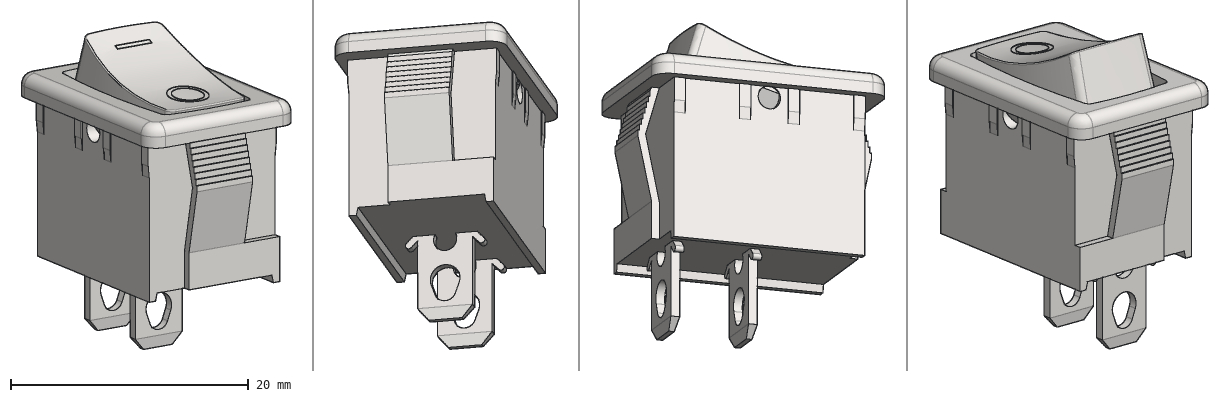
import cadquery as cq
import math

bezel_length = 20.78
bezel_width = 14.8
bezel_height = 2.0
bezel_corner_radius = 1.5
bezel_edge_radius = 1.0

body_length = 17.1
body_width = 12.68
body_depth = 13.9
foot_height = 0.7
foot_top_width = 0.8
foot_tip_width = 0.65

rib_width = 1.0
rib_thickness = 0.1
rib_straight_depth = 2.0
rib_total_depth = 3.05
rib_inner_x = 2.18
rib_outer_x = (body_length - rib_width) / 2

opening_corner_x = 7.9
opening_middle_x = 8.23
opening_corner_y = 4.37
opening_middle_y = 4.88
opening_corner_radius = 0.59
opening_floor_z = -1.0
floor_slit_wall_gap = 0.15
floor_slit_length = 0.65
floor_slit_width = 0.2
floor_slit_depth = 0.13

pivot_diameter = 2.0
pivot_z = -0.93
pivot_recess = 0.13
pivot_flat_height = 0.67
pivot_ramp_angle = 35.0

rocker_tilt = 15.0
rocker_draft = 2.5
rocker_corner_x = 6.85
rocker_middle_x = 7.03
rocker_corner_y = 3.8
rocker_middle_y = 4.35
rocker_corner_radius = 0.72
rocker_edge_radius = 0.1
rocker_top = 5.22
rocker_sag = 1.05
rocker_base = -2.4
rocker_trim = 0.27

mark_depth = 0.05
on_mark_x = -4.85
on_mark_width = 0.43
on_mark_length = 3.44
off_mark_x = 3.8
off_mark_outer_radius = 1.78
off_mark_inner_radius = 1.39

clip_width = 5.6
clip_reach = 10.47
clip_thickness = 0.7
clip_root_thickness = 0.67
clip_grip_thickness = 0.83
clip_apex_z = -4.15
clip_step_count = 8
clip_first_step_z = -0.3
clip_step_height = 0.5
clip_bar_top_z = -9.96

terminal_thickness = 0.8
terminal_width = 4.75
terminal_positions = (-6.95, 0.0)
terminal_bottom = -20.75
terminal_tip_height = 1.07
terminal_tip_width = 2.88
terminal_tip_thickness = 0.5
terminal_root_z = -12.0
upper_hole_diameter = 2.0
upper_hole_z = -13.7
keyhole_large_radius = 1.28
keyhole_large_z = -17.24
keyhole_small_radius = 0.93
keyhole_small_z = -18.25
barb_radius = 0.3
barb_tip_y = 3.15
barb_tip_z = -13.99
barb_length = 2.0


def bowed_rectangle(plane, corner_x, middle_x, corner_y, middle_y):
    """Rectangle whose four sides are arcs that bulge outward."""
    return (
        plane.moveTo(-corner_x, -corner_y)
        .threePointArc((0, -middle_y), (corner_x, -corner_y))
        .threePointArc((middle_x, 0), (corner_x, corner_y))
        .threePointArc((0, middle_y), (-corner_x, corner_y))
        .threePointArc((-middle_x, 0), (-corner_x, -corner_y))
        .close()
    )


def mirrored_pair(solid, plane):
    return solid.union(solid.mirror(plane))


def make_bezel():
    bezel = cq.Workplane("XY").rect(bezel_length, bezel_width).extrude(bezel_height)
    bezel = bezel.edges("|Z").fillet(bezel_corner_radius)
    return bezel.faces(">Z").edges().fillet(bezel_edge_radius)


def make_opening():
    """Pocket around the rocker, with a short slit in its floor."""
    floor = cq.Workplane("XY").workplane(offset=opening_floor_z)
    pocket = bowed_rectangle(
        floor, opening_corner_x, opening_middle_x, opening_corner_y, opening_middle_y
    ).extrude(bezel_height - opening_floor_z)
    pocket = pocket.edges("|Z").fillet(opening_corner_radius)
    slit = (
        cq.Workplane("XY")
        .box(floor_slit_length, floor_slit_width, floor_slit_depth, centered=(False, True, False))
        .translate((-opening_middle_x + floor_slit_wall_gap, 0, opening_floor_z - floor_slit_depth))
    )
    return pocket.union(slit)


def foot_outline(plane):
    """Cross section in Y and Z: a block with a foot along each bottom edge."""
    half_width = body_width / 2
    recess_z = foot_height - body_depth
    return plane.polyline(
        [
            (-half_width, 0),
            (-half_width, -body_depth),
            (-half_width + foot_tip_width, -body_depth),
            (-half_width + foot_top_width, recess_z),
            (half_width - foot_top_width, recess_z),
            (half_width - foot_tip_width, -body_depth),
            (half_width, -body_depth),
            (half_width, 0),
        ]
    ).close()


def make_body():
    return foot_outline(cq.Workplane("YZ")).extrude(body_length / 2, both=True)


def make_ribs():
    """Thin guide ribs under the bezel, each tapering away at its lower end."""
    face_y = -body_width / 2
    rib = (
        cq.Workplane("YZ")
        .polyline(
            [
                (0, 0),
                (face_y - rib_thickness, 0),
                (face_y - rib_thickness, -rib_straight_depth),
                (face_y, -rib_total_depth),
                (0, -rib_total_depth),
            ]
        )
        .close()
        .extrude(rib_width / 2, both=True)
    )
    ribs = cq.Workplane("XY")
    for x in (-rib_outer_x, -rib_inner_x, rib_inner_x, rib_outer_x):
        ribs = ribs.add(rib.translate((x, 0, 0)))
    return mirrored_pair(ribs.combine(), "XZ")


def make_pivot_recesses():
    """Round recesses in both long sides, each with a ramp for a floor."""
    wall_y = -body_width / 2
    radius = pivot_diameter / 2
    ramp_height = radius + pivot_flat_height
    ramp_depth = ramp_height * math.tan(math.radians(pivot_ramp_angle))
    floor_y = wall_y + pivot_recess
    room = (
        cq.Workplane("YZ")
        .polyline(
            [
                (wall_y, radius),
                (floor_y, radius),
                (floor_y, pivot_flat_height),
                (floor_y + ramp_depth, -radius),
                (wall_y, -radius),
            ]
        )
        .close()
        .extrude(pivot_diameter, both=True)
        .rotate((0, 0, 0), (0, 1, 0), rocker_tilt)
    )
    bore = cq.Workplane("XZ").circle(radius).extrude(body_width)
    recess = bore.intersect(room).translate((0, 0, pivot_z))
    return mirrored_pair(recess, "XZ")


def make_top_cutter(depth):
    """Cylinder that hollows the rocker top, lowered by the given depth."""
    radius = (rocker_middle_x**2 + rocker_sag**2) / (2 * rocker_sag)
    axis_z = rocker_top - rocker_sag + radius
    return (
        cq.Workplane("XZ")
        .center(0, axis_z)
        .circle(radius + depth)
        .extrude(bezel_width, both=True)
    )


def make_rocker():
    """Drafted rocker with a concave top, built level about its pivot and then tilted."""
    height = rocker_top - rocker_base
    flare = height * math.tan(math.radians(rocker_draft))
    base = bowed_rectangle(
        cq.Workplane("XY").workplane(offset=rocker_base),
        rocker_corner_x + flare,
        rocker_middle_x + flare,
        rocker_corner_y + flare,
        rocker_middle_y + flare,
    )
    block = base.extrude(height + rocker_trim, taper=rocker_draft)
    block = block.edges("not(<Z or >Z)").fillet(rocker_corner_radius)
    rocker = block.cut(make_top_cutter(0))
    top_face = rocker.faces(cq.selectors.NearestToPointSelector((0, 0, rocker_top - rocker_sag)))
    rocker = top_face.edges().fillet(rocker_edge_radius)
    rocker = rocker.cut(make_marks())
    pin = cq.Workplane("XZ").circle(pivot_diameter / 2).extrude(opening_middle_y, both=True)
    rocker = rocker.union(pin)
    return rocker.rotate((0, 0, 0), (0, 1, 0), rocker_tilt).translate((0, 0, pivot_z))


def make_marks():
    """Shallow bar and ring sunk into the rocker top."""
    bar = cq.Workplane("XY").center(on_mark_x, 0).rect(on_mark_width, on_mark_length)
    ring = (
        cq.Workplane("XY")
        .center(off_mark_x, 0)
        .circle(off_mark_outer_radius)
        .circle(off_mark_inner_radius)
    )
    prisms = bar.extrude(rocker_top).union(ring.extrude(rocker_top))
    return prisms.intersect(make_top_cutter(mark_depth))


def make_clip():
    """Bent spring clip on the -X side, with a stepped grip and a bar at its foot."""
    wall_x = -body_length / 2
    bar_x = wall_x - clip_thickness
    grip_x = wall_x - clip_grip_thickness
    step_run = (clip_reach + grip_x) / (clip_step_count - 1)
    points = [(wall_x, 0), (wall_x - clip_root_thickness, 0)]
    for step in range(clip_step_count):
        face_x = grip_x - step_run * step
        face_top_z = clip_first_step_z - clip_step_height * step
        points += [(face_x, face_top_z), (face_x, face_top_z - clip_step_height)]
    points += [
        (bar_x, clip_bar_top_z),
        (wall_x, clip_bar_top_z),
        (-clip_reach + clip_thickness, clip_apex_z),
    ]
    spring = cq.Workplane("XZ").polyline(points).close().extrude(clip_width / 2, both=True)

    bar = foot_outline(cq.Workplane("YZ").workplane(offset=bar_x)).extrude(clip_thickness)
    bar_length = (body_width + clip_width) / 2
    limits = (
        cq.Workplane("XY")
        .box(clip_thickness, bar_length, body_depth + clip_bar_top_z, centered=False)
        .translate((bar_x, -clip_width / 2, -body_depth))
    )
    return spring.union(bar.intersect(limits))


def make_keyhole():
    """Two circles of different size joined by their common tangents."""
    tilt = math.asin(
        (keyhole_large_radius - keyhole_small_radius) / (keyhole_large_z - keyhole_small_z)
    )

    def tangent_point(side, radius, z):
        return (side * radius * math.cos(tilt), z - radius * math.sin(tilt))

    return (
        cq.Workplane("YZ")
        .moveTo(*tangent_point(-1, keyhole_large_radius, keyhole_large_z))
        .threePointArc(
            (0, keyhole_large_z + keyhole_large_radius),
            tangent_point(1, keyhole_large_radius, keyhole_large_z),
        )
        .lineTo(*tangent_point(1, keyhole_small_radius, keyhole_small_z))
        .threePointArc(
            (0, keyhole_small_z - keyhole_small_radius),
            tangent_point(-1, keyhole_small_radius, keyhole_small_z),
        )
        .close()
        .extrude(terminal_thickness, both=True)
    )


def make_terminal():
    half_width = terminal_width / 2
    half_thickness = terminal_thickness / 2
    tip_z = terminal_bottom + terminal_tip_height
    outline = [
        (-half_width, terminal_root_z),
        (-half_width, tip_z),
        (-terminal_tip_width / 2, terminal_bottom),
        (terminal_tip_width / 2, terminal_bottom),
        (half_width, tip_z),
        (half_width, terminal_root_z),
    ]
    blade = cq.Workplane("YZ").polyline(outline).close().extrude(half_thickness, both=True)
    side_profile = [
        (-half_thickness, terminal_root_z),
        (-half_thickness, tip_z),
        (-terminal_tip_thickness / 2, terminal_bottom),
        (terminal_tip_thickness / 2, terminal_bottom),
        (half_thickness, tip_z),
        (half_thickness, terminal_root_z),
    ]
    thinned = cq.Workplane("XZ").polyline(side_profile).close().extrude(half_width, both=True)
    upper_hole = (
        cq.Workplane("YZ")
        .center(0, upper_hole_z)
        .circle(upper_hole_diameter / 2)
        .extrude(terminal_thickness, both=True)
    )
    blade = blade.intersect(thinned).cut(upper_hole).cut(make_keyhole())
    return blade.union(make_barbs())


def make_barbs():
    """Round-ended barbs that slant down at 45 degrees from both edges of a terminal."""
    barb = (
        cq.Workplane("YZ")
        .center(barb_tip_y, barb_tip_z)
        .transformed(rotate=(0, 0, 135))
        .center(barb_length / 2, 0)
        .slot2D(barb_length + 2 * barb_radius, 2 * barb_radius)
        .extrude(terminal_thickness / 2, both=True)
    )
    return mirrored_pair(barb, "XZ")


housing = make_bezel().union(make_body()).union(make_ribs())
housing = housing.cut(make_opening())
result = housing.union(make_rocker()).cut(make_pivot_recesses())
result = result.union(mirrored_pair(make_clip(), "YZ"))
terminal = make_terminal()
for terminal_x in terminal_positions:
    result = result.union(terminal.translate((terminal_x, 0, 0)))